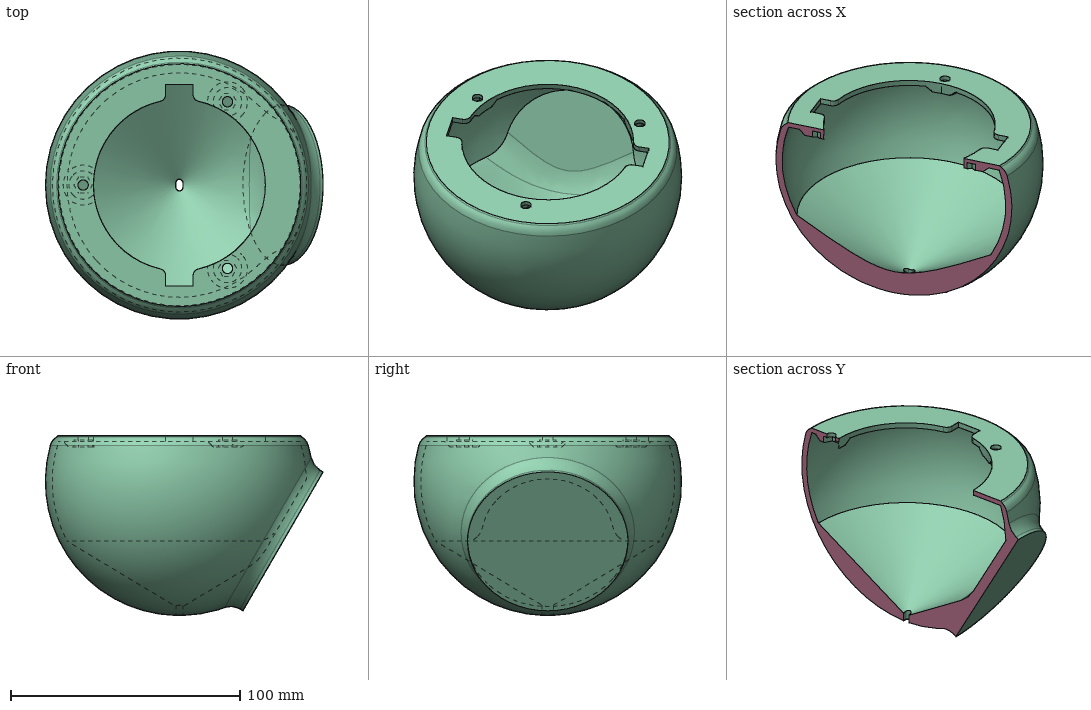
import cadquery as cq
import math


outer_radius = 58.5
wall = 3.0
inner_radius = outer_radius - wall

rim_height = 20.0
rim_thickness = 2.5
rim_underside = rim_height - rim_thickness

rim_flat_radius = 53.0
rim_chamfer = 0.6
rim_round_end_height = 15.7
rim_round_radius = 6.3

opening_diameter = 75.0
notch_width = 12.0
notch_span = 88.0
notch_fillet = 3.0

screw_count = 3
screw_circle_radius = 42.0
first_screw_angle = 60.0
screw_diameter = 4.5
screw_seat_thickness = 2.0
nut_across_flats = 7.0
boss_height = 2.5
boss_tip_radius = 6.2
boss_root_radius = boss_tip_radius + boss_height
boss_overlap = rim_thickness / 2

port_tilt = 30.0
port_radius = 70.0 / 2
port_root_distance = 30.0
port_face_distance = 52.25
port_floor_distance = 47.5
port_fillet = 8.0
port_axis = cq.Vector(math.cos(math.radians(port_tilt)), 0, -math.sin(math.radians(port_tilt)))

funnel_rim_radius = 49.0
funnel_rim_height = -math.sqrt(inner_radius**2 - funnel_rim_radius**2)
funnel_tip_height = -inner_radius
funnel_port_fillet = 20.0
drain_width = 3.0
drain_length = 5.0

beyond_part = 4 * outer_radius


def revolve_about_z(profile):
    """Full revolution of an XZ profile, with the seam on the -X side, away from the port."""
    return profile.close().revolve(360, (0, 0), (0, 1)).rotate((0, 0, 0), (0, 0, 1), 180)


def along_port(shape):
    """Tip a shape built along +Z so that it points along the port axis."""
    return shape.rotate((0, 0, 0), (0, 1, 0), 90 + port_tilt)


def beyond_port_plane(distance):
    """Everything farther along the port axis than the given distance."""
    block = cq.Workplane("XY").workplane(offset=distance).rect(beyond_part, beyond_part).extrude(beyond_part)
    return along_port(block)


def outer_ball():
    """Truncated solid ball with a rounded and chamfered top edge."""
    round_end_radius = math.sqrt(outer_radius**2 - rim_round_end_height**2)
    profile = (
        cq.Workplane("XZ")
        .moveTo(0, -outer_radius)
        .threePointArc((outer_radius, 0), (round_end_radius, rim_round_end_height))
        .radiusArc((rim_flat_radius + rim_chamfer, rim_height - rim_chamfer), -rim_round_radius)
        .lineTo(rim_flat_radius, rim_height)
        .lineTo(0, rim_height)
    )
    return revolve_about_z(profile)


def ball_with_port():
    """Ball with the round port stub, blended by a concave fillet and cut flat at the port face."""
    stub_length = port_face_distance - port_root_distance
    stub = cq.Workplane("XY").workplane(offset=port_root_distance).circle(port_radius).extrude(stub_length)
    body = outer_ball().union(along_port(stub))
    junction_centre = port_axis * math.sqrt(outer_radius**2 - port_radius**2)
    junction = cq.selectors.NearestToPointSelector(junction_centre.toTuple())
    blended = body.edges(junction).fillet(port_fillet)
    return blended.cut(beyond_port_plane(port_face_distance))


def cavity():
    """Inner ball, flat under the rim and behind the port, with a funnel floor."""
    ceiling_radius = math.sqrt(inner_radius**2 - rim_underside**2)
    profile = (
        cq.Workplane("XZ")
        .moveTo(0, funnel_tip_height)
        .lineTo(funnel_rim_radius, funnel_rim_height)
        .threePointArc((inner_radius, 0), (ceiling_radius, rim_underside))
        .lineTo(0, rim_underside)
    )
    hollow = revolve_about_z(profile).cut(beyond_port_plane(port_floor_distance))
    return hollow.edges("%HYPERBOLA").fillet(funnel_port_fillet)


def at_screws():
    """Workplane at the sphere centre height with a point on each screw axis."""
    plane = cq.Workplane("XY")
    return plane.polarArray(screw_circle_radius, first_screw_angle, 360, screw_count, rotate=False)


def screw_bosses():
    """Bosses that hang from the rim and narrow downward at 45 degrees."""
    profile = (
        cq.Workplane("XZ")
        .moveTo(0, rim_underside - boss_height)
        .lineTo(boss_tip_radius, rim_underside - boss_height)
        .lineTo(boss_root_radius, rim_underside)
        .lineTo(boss_root_radius, rim_underside + boss_overlap)
        .lineTo(0, rim_underside + boss_overlap)
    )
    boss = revolve_about_z(profile).val()
    return at_screws().eachpoint(boss, combine=False).combine()


def screw_holes():
    """Clearance holes through the rim, with a nut pocket below each seat."""
    holes = at_screws().circle(screw_diameter / 2).extrude(rim_height)
    nut_corner_radius = nut_across_flats / 2 / math.cos(math.pi / 6)
    hexagon = cq.Sketch().regularPolygon(nut_corner_radius, 6, angle=30)
    pockets = at_screws().placeSketch(hexagon).extrude(rim_height - screw_seat_thickness)
    return holes.union(pockets)


def opening():
    """Round hole through the rim with two notches, filleted where they leave the circle."""
    round_hole = cq.Workplane("XY").circle(opening_diameter / 2).extrude(rim_height)
    notches = cq.Workplane("XY").rect(notch_width, notch_span).extrude(rim_height)
    corner_zone = cq.selectors.BoxSelector(
        (-notch_width, -opening_diameter / 2, 0),
        (notch_width, opening_diameter / 2, rim_height),
    )
    return round_hole.union(notches).edges("|Z").edges(corner_zone).fillet(notch_fillet)


def drain():
    """Slot through the tip of the funnel, long along Y."""
    return cq.Workplane("XY").slot2D(drain_length, drain_width, 90).extrude(-beyond_part)


result = (
    ball_with_port()
    .cut(cavity())
    .union(screw_bosses())
    .cut(opening())
    .cut(screw_holes())
    .cut(drain())
    .translate((0, 0, -rim_height))
    .solids()
)